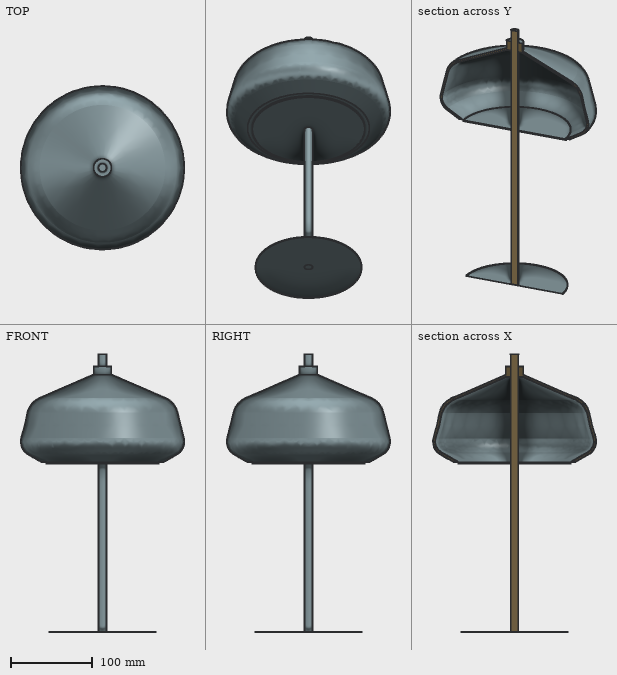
import cadquery as cq


foot_radius = 65
foot_thickness = 1

rod_radius = 5
rod_top = 340

collar_radius = 11
collar_height = 10
rod_stub = 15
collar_top = rod_top - rod_stub
shade_top = collar_top - collar_height

shade_bottom = 208
rim_radius = 74.5
belly_corner_radius = 102.78
belly_corner_height = 224.2
shoulder_corner_radius = 88.6
shoulder_corner_height = 281.35
belly_round = 18.2
shoulder_round = 26
wall = 3

diffuser_radius = 69
diffuser_thickness = 2


def cylinder(radius, bottom, top):
    return cq.Workplane("XY").workplane(offset=bottom).circle(radius).extrude(top - bottom)


def circle_at(height):
    """Selector for the circular corner edge at the given height."""
    margin = 0.5
    reach = 2 * belly_corner_radius
    return cq.selectors.BoxSelector(
        (-reach, -reach, height - margin),
        (reach, reach, height + margin),
        boundingbox=True,
    )


def make_foot():
    return cylinder(foot_radius, 0, foot_thickness)


def make_rod():
    return cylinder(rod_radius, foot_thickness, rod_top)


def make_shade():
    """Thin-walled shade, open at the bottom, with a solid collar bored for the rod."""
    outer = (
        cq.Workplane("XZ")
        .moveTo(0, shade_bottom)
        .lineTo(rim_radius, shade_bottom)
        .lineTo(belly_corner_radius, belly_corner_height)
        .lineTo(shoulder_corner_radius, shoulder_corner_height)
        .lineTo(collar_radius, shade_top)
        .lineTo(0, shade_top)
        .close()
        .revolve(360, (0, 0), (0, 1))
    )
    rounded = outer.edges(circle_at(belly_corner_height)).fillet(belly_round)
    rounded = rounded.edges(circle_at(shoulder_corner_height)).fillet(shoulder_round)
    hollow = rounded.faces("<Z").shell(-wall)

    collar = cylinder(collar_radius, shade_top, collar_top)
    rod_bore = cylinder(rod_radius, shade_bottom, collar_top)
    return hollow.union(collar).cut(rod_bore).solids()


def make_diffuser():
    """Disc with a hole for the rod, pressed up against the rim of the shade."""
    diffuser_bottom = shade_bottom - diffuser_thickness
    disc = cylinder(diffuser_radius, diffuser_bottom, shade_bottom)
    rod_hole = cylinder(rod_radius, diffuser_bottom, shade_bottom)
    return disc.cut(rod_hole).solids()


foot = make_foot()
rod = make_rod()
shade = make_shade()
diffuser = make_diffuser()

result = cq.Compound.makeCompound([foot.val(), rod.val(), shade.val(), diffuser.val()])